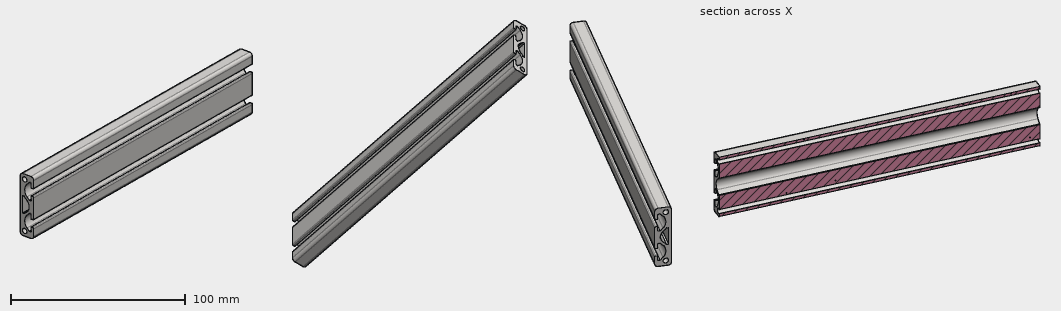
import cadquery as cq
import math

width = 10.0
height = 40.0
length = 200.0
corner_radius = 2.0

hole_diameter = 3.2
hole_edge_distance = 3.5

slot_pitch = height / 2
slot_opening = 5.0
slot_floor_thickness = 3.5
slot_floor_radius = 5.8
slot_half_height = 5.8
slot_corner_radius = 0.5
lip_thickness = 1.8
lip_edge_radius = 0.5

cavity_wall = 1.8
cavity_depth = 4.8
cavity_crown_radius = 4.8
cavity_half_height = 5.5

left_face = -width / 2
right_face = width / 2
lip_inner_face = right_face - lip_thickness


def bar(section):
    """Extrude an XZ section over the full length, centred in Y."""
    return section.extrude(length / 2, both=True)


def crowned_prism(apex_x, crown_radius, half_height, flat_x, center_z):
    """Prism with a flat side at flat_x, and a round crown at apex_x running into 45 degree flanks."""
    inward = math.copysign(1, flat_x - apex_x)
    diagonal = crown_radius * math.sqrt(0.5)
    tangent_x = apex_x + inward * (crown_radius - diagonal)
    flank_end_x = tangent_x + inward * (half_height - diagonal)
    section = (
        cq.Workplane("XZ", origin=(0, 0, center_z))
        .moveTo(flat_x, -half_height)
        .lineTo(flank_end_x, -half_height)
        .lineTo(tangent_x, -diagonal)
        .threePointArc((apex_x, 0), (tangent_x, diagonal))
        .lineTo(flank_end_x, half_height)
        .lineTo(flat_x, half_height)
        .close()
    )
    return bar(section)


def slot(center_z):
    """Undercut slot whose narrow mouth opens through the right face."""
    chamber = crowned_prism(
        left_face + slot_floor_thickness, slot_floor_radius, slot_half_height, lip_inner_face, center_z
    )
    chamber = chamber.edges("|Y and >X").fillet(slot_corner_radius)
    mouth_section = (
        cq.Workplane("XZ", origin=(0, 0, center_z))
        .center(right_face, 0)
        .rect(2 * lip_thickness, slot_opening)
    )
    return chamber.union(bar(mouth_section))


profile = cq.Workplane("XY").box(width, length, height).edges("|Y").fillet(corner_radius)

for slot_z in (-slot_pitch / 2, slot_pitch / 2):
    profile = profile.cut(slot(slot_z))
    for side in (-1, 1):
        lip_edge = cq.selectors.NearestToPointSelector((right_face, 0, slot_z + side * slot_opening / 2))
        profile = profile.edges("|Y").edges(lip_edge).fillet(lip_edge_radius)

cavity_left = left_face + cavity_wall
profile = profile.cut(
    crowned_prism(cavity_left + cavity_depth, cavity_crown_radius, cavity_half_height, cavity_left, 0)
)

hole_z = height / 2 - hole_edge_distance
hole_centers = [(left_face + hole_edge_distance, z) for z in (-hole_z, hole_z)]
result = profile.cut(bar(cq.Workplane("XZ").pushPoints(hole_centers).circle(hole_diameter / 2)))